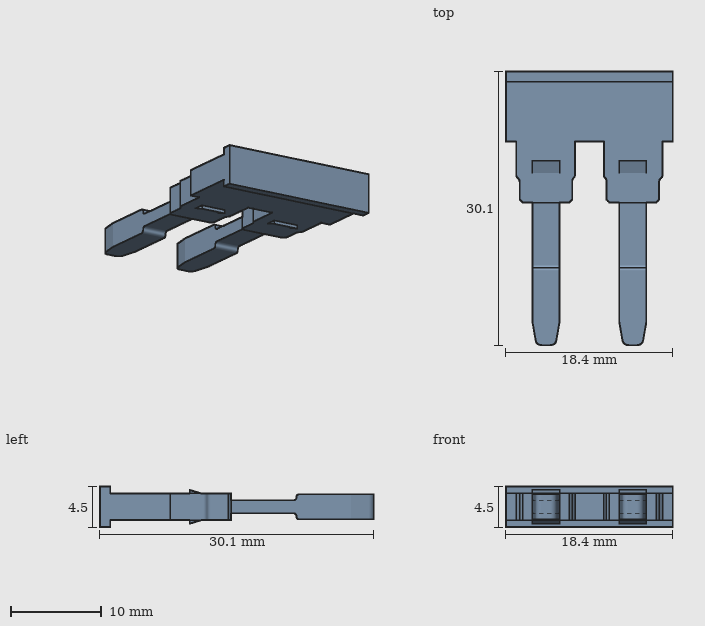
import cadquery as cq
import math

total_length = 30.15
head_width = 18.4
pole_pitch = 9.55

body_thickness = 2.95
shoulder_y = 7.75
flange_depth = 1.15
flange_height = 4.5

sleeve_outer_reach = 3.3
sleeve_inner_reach = 3.2
sleeve_nose_width = 5.82
sleeve_step_y = 11.4
sleeve_end_y = 14.45
step_radius = 0.45
step_angle = math.radians(45)
nose_chamfer = 0.33

latch_start_y = 9.85
latch_end_y = 11.2
latch_height = 0.4

pin_width = 3.0
pin_thickness = 1.45
blade_thickness = 2.77
blade_start_y = 21.62
blade_edge_radius = 0.3
taper_start_y = 27.65
tip_width = 2.1
tip_radius = 0.65

back_y = total_length / 2


def block(width, start_y, end_y, height):
    """Box centred on X and Z, between two distances from the back face."""
    center_y = back_y - (start_y + end_y) / 2
    return cq.Workplane("XY").box(width, end_y - start_y, height).translate((0, center_y, 0))


def make_half_sleeve(outer_x):
    """+X half of a sleeve, narrowed by a step of two opposed arcs joined by a sloping line."""
    nose_x = sleeve_nose_width / 2
    arc_x = step_radius * (1 - math.cos(step_angle))
    arc_y = step_radius * math.sin(step_angle)
    half_arc_x = step_radius * (1 - math.cos(step_angle / 2))
    half_arc_y = step_radius * math.sin(step_angle / 2)
    slope_length_y = (outer_x - nose_x - 2 * arc_x) / math.tan(step_angle)
    step_top = back_y - sleeve_step_y
    step_bottom = step_top - 2 * arc_y - slope_length_y
    shoulder = back_y - shoulder_y
    end = back_y - sleeve_end_y
    return (
        cq.Workplane("XY")
        .workplane(offset=-body_thickness / 2)
        .moveTo(0, shoulder)
        .lineTo(outer_x, shoulder)
        .lineTo(outer_x, step_top)
        .threePointArc((outer_x - half_arc_x, step_top - half_arc_y), (outer_x - arc_x, step_top - arc_y))
        .lineTo(nose_x + arc_x, step_bottom + arc_y)
        .threePointArc((nose_x + half_arc_x, step_bottom + half_arc_y), (nose_x, step_bottom))
        .lineTo(nose_x, end + nose_chamfer)
        .lineTo(nose_x - nose_chamfer, end)
        .lineTo(0, end)
        .close()
        .extrude(body_thickness)
    )


def make_sleeve():
    """Sleeve of the +X pole, slightly wider on the side facing away from the other pole."""
    inner_half = make_half_sleeve(sleeve_inner_reach).mirror("YZ")
    return make_half_sleeve(sleeve_outer_reach).union(inner_half)


def make_latches():
    """Pair of wedges, highest at the flange side, on the top and bottom faces."""
    face_z = body_thickness / 2
    start = back_y - latch_start_y
    wedge = (
        cq.Workplane("YZ")
        .moveTo(start, 0)
        .lineTo(start, face_z + latch_height)
        .lineTo(back_y - latch_end_y, face_z)
        .lineTo(back_y - latch_end_y, 0)
        .close()
        .extrude(pin_width / 2, both=True)
    )
    return wedge.union(wedge.mirror("XY"))


def make_pin():
    """Thin shank with a thicker, tapered and rounded contact blade."""
    shank = block(pin_width, sleeve_end_y, blade_start_y, pin_thickness)
    tip_y = back_y - total_length
    blade = (
        cq.Workplane("XY")
        .workplane(offset=-blade_thickness / 2)
        .polyline([
            (-pin_width / 2, back_y - blade_start_y),
            (pin_width / 2, back_y - blade_start_y),
            (pin_width / 2, back_y - taper_start_y),
            (tip_width / 2, tip_y),
            (-tip_width / 2, tip_y),
            (-pin_width / 2, back_y - taper_start_y),
        ])
        .close()
        .extrude(blade_thickness)
        .faces("<Y").edges("|Z").fillet(tip_radius)
        .faces(">Y").edges("|X").fillet(blade_edge_radius)
    )
    root_edges = cq.selectors.BoxSelector(
        (-pin_width, back_y - blade_start_y - 0.03, -pin_thickness / 2 - 0.03),
        (pin_width, back_y - blade_start_y + 0.03, pin_thickness / 2 + 0.03),
    )
    return shank.union(blade).edges("|X").edges(root_edges).fillet(blade_edge_radius)


head = block(head_width, 0, shoulder_y, body_thickness)
flange = block(head_width, 0, flange_depth, flange_height)
pole = make_sleeve().union(make_latches()).union(make_pin()).translate((pole_pitch / 2, 0, 0))

result = head.union(flange).union(pole).union(pole.mirror("YZ"))